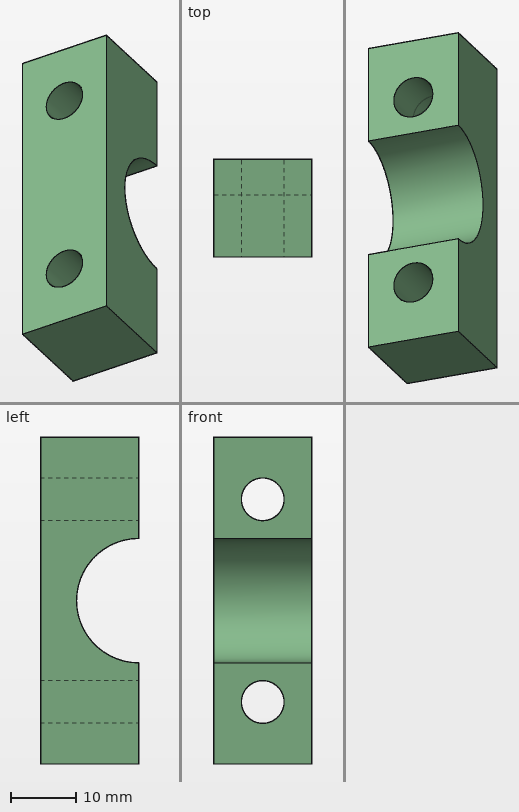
import cadquery as cq

width = 15.0
depth = 15.0
height = 50.0

saddle_diameter = 19.0

hole_diameter = 6.5
hole_spacing = 31.0

front_y = -depth / 2


def make_saddle():
    """Cylinder along X whose axis lies in the front face."""
    return (
        cq.Workplane("YZ")
        .center(front_y, 0)
        .circle(saddle_diameter / 2)
        .extrude(width / 2, both=True)
    )


def make_bolt_holes():
    """Two cylinders along Y, spaced evenly about the middle of the block."""
    return (
        cq.Workplane("XZ")
        .pushPoints([(0, -hole_spacing / 2), (0, hole_spacing / 2)])
        .circle(hole_diameter / 2)
        .extrude(depth / 2, both=True)
    )


block = cq.Workplane("XY").box(width, depth, height)
result = block.cut(make_saddle()).cut(make_bolt_holes())